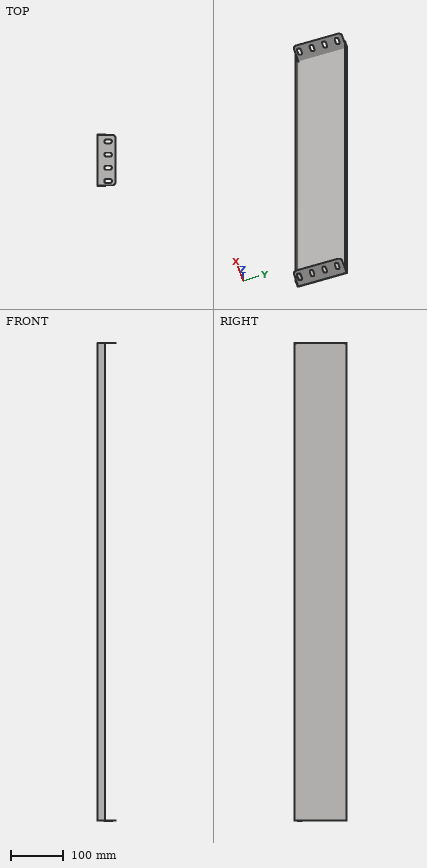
import cadquery as cq

sheet = 1.0
overall_height = 907.0
panel_width = 99.0
side_flange_depth = 15.0
side_bend_radius = 2.5
end_flange_depth = 35.0
end_flange_width = 96.0
end_bend_radius = 1.5
end_corner_radius = 7.0

slot_count = 4
slot_pitch = 25.0
slot_length = 14.0
slot_width = 7.0
slot_center_x = 20.5
slot_row_offset = -2.0

collar_height = 1.0
collar_wall = 0.5

collar_bottom = -overall_height / 2
panel_bottom = collar_bottom + collar_height
panel_height = overall_height - collar_height
first_slot_y = slot_row_offset - slot_pitch * (slot_count - 1) / 2


def block(depth, width, height, bottom):
    """Box from X = 0 to depth, centred on Y, standing on the given bottom level."""
    return (
        cq.Workplane("XY", origin=(depth / 2, 0, bottom))
        .box(depth, width, height, centered=(True, True, False))
    )


def side_channel():
    """Panel face and its two side flanges, bent as one U-shaped section."""
    outer = block(side_flange_depth, panel_width, panel_height, panel_bottom)
    outer = outer.edges("|Z and <X").fillet(side_bend_radius)
    inner = block(side_flange_depth, panel_width - 2 * sheet, panel_height, panel_bottom)
    inner = inner.edges("|Z and <X").fillet(side_bend_radius - sheet)
    return outer.cut(inner.translate((sheet, 0, 0)))


def rounded_end_envelope():
    """Bounding block that rounds the two ends of the side channel like the end bends."""
    envelope = block(end_flange_depth, panel_width, panel_height, panel_bottom)
    return envelope.edges("|Y and <X").fillet(end_bend_radius)


def end_channel():
    """Panel face and its two end flanges with rounded free corners."""
    outer = block(end_flange_depth, end_flange_width, panel_height, panel_bottom)
    outer = outer.edges("|Y and <X").fillet(end_bend_radius)
    outer = outer.edges("|Z and >X").fillet(end_corner_radius)
    inner_height = panel_height - 2 * sheet
    inner = block(end_flange_depth, end_flange_width, inner_height, panel_bottom + sheet)
    inner = inner.edges("|Y and <X").fillet(end_bend_radius - sheet)
    bend_envelope = block(end_flange_depth, panel_width, panel_height, panel_bottom)
    bend_envelope = bend_envelope.edges("|Z and <X").fillet(side_bend_radius)
    return outer.cut(inner.translate((sheet, 0, 0))).intersect(bend_envelope)


def slot_prism(center_y, margin, bottom, height):
    """Round-ended prism along X, larger than a slot by the margin on every side."""
    return (
        cq.Workplane("XY", origin=(slot_center_x, center_y, bottom))
        .slot2D(slot_length + 2 * margin, slot_width + 2 * margin)
        .extrude(height)
    )


def collar():
    """Thin rim around the first slot, running up through the bottom flange."""
    return slot_prism(first_slot_y, collar_wall, collar_bottom, collar_height + sheet)


def slots():
    """Cutters for the slots, each passing through both end flanges."""
    cutters = cq.Workplane("XY")
    for index in range(slot_count):
        slot_y = first_slot_y + index * slot_pitch
        cutters = cutters.add(slot_prism(slot_y, 0, collar_bottom, overall_height))
    return cutters.combine()


panel = side_channel().intersect(rounded_end_envelope())
result = panel.union(end_channel()).union(collar()).cut(slots())